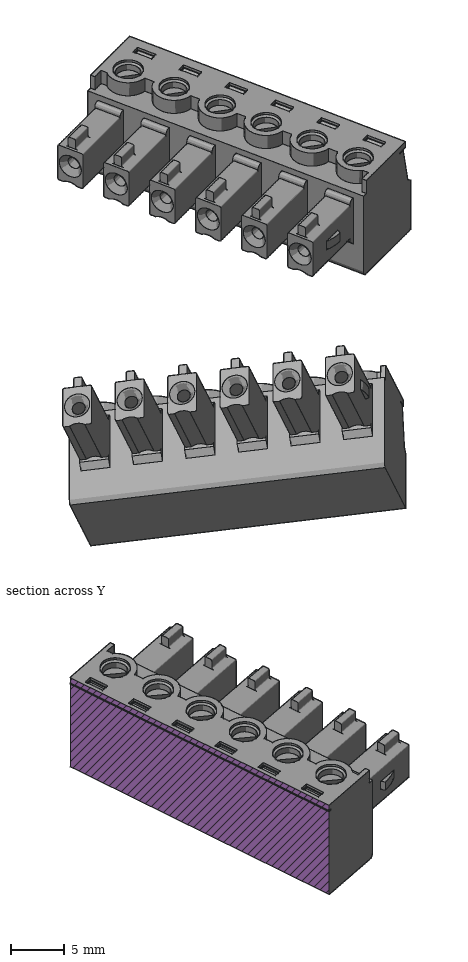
import cadquery as cq
import math


POLES = 6
LENGTH = 30.48
PITCH = LENGTH / POLES
POLE_X = [(i - (POLES - 1) / 2) * PITCH for i in range(POLES)]

DEPTH = 8.4
HEIGHT = 11.1
TOP_BACK_Y = 7.47
SHOULDER_Z = 9.55
SHOULDER_Y = 0.5
FOOT_DEPTH = 0.25
FOOT_HEIGHT = 0.55
LIP_BOTTOM_Z = 10.4
GROOVE_HEIGHT = 0.1
GROOVE_BACK_Y = 7.07
GROOVE_FRONT_Y = 6.45
SLOPE_FOOT_Y = 7.9
SLOPE_FOOT_Z = 6.25
BACK_TOP_Z = 5.85

SCREW_Y = 3.1
TOWER_RADIUS = 2.07
SCALLOP_BACK_Y = 2.77
END_POCKET_BACK_Y = 1.62
END_WALL = 0.5
SEAT_DIAMETER = 2.85
SEAT_DEPTH = 0.25
SEAT_CONE_DEPTH = 0.15
WELL_DIAMETER = 2.45
SCREW_TOP_DEPTH = 1.07
DRIVER_SLOT_WIDTH = 0.7
DRIVER_SLOT_DEPTH = 0.5
DRIVER_SLOT_ANGLE = 45.0

WINDOW_Y = 6.0
WINDOW_WIDTH = 2.0
WINDOW_LENGTH_Y = 0.8
WINDOW_LEDGE = 0.1
WINDOW_DEPTH = 0.27
WINDOW_FLOOR_ANGLE = 20.0

PLUG_LENGTH = 7.2
PLUG_WIDTH = 2.8
PLUG_BOTTOM_Z = 4.25
PLUG_TOP_Z = 8.38
PLUG_EDGE_RADIUS = 0.18
COLLAR_LENGTH = 0.58
COLLAR_TOP_Z = 8.87
COLLAR_RADIUS = 0.37
COLLAR_FACE_BOTTOM_Z = 4.0
COLLAR_BOTTOM_Z = 3.38
KEEL_GROOVE_WIDTH = 1.45
KEEL_GROOVE_HEIGHT = 0.2

SOCKET_Z = 6.37
SOCKET_MOUTH_DIAMETER = 2.45
SOCKET_RIM_DIAMETER = 2.13
SOCKET_RIM_DEPTH = 0.12
SOCKET_BORE_DIAMETER = 1.25
SOCKET_CONE_DEPTH = 0.6
SOCKET_DEPTH = 3.05

KEY_WIDTH = 0.82
KEY_FRONT_Y = -6.92
KEY_BACK_Y = -4.7
KEY_TOP_Z = SHOULDER_Z
KEY_RADIUS = 0.18

LATCH_Z = SOCKET_Z
LATCH_HEIGHT = 1.0
LATCH_REACH = 0.4
LATCH_BACK_Y = -2.77
LATCH_CREST_Y = -3.0
LATCH_FRONT_Y = -4.82


def side_extrusion(profile_points, width):
    """Extrude a closed (y, z) outline along X, centred on X = 0."""
    return cq.Workplane("YZ").polyline(profile_points).close().extrude(width / 2, both=True)


def box_between(x_range, y_range, z_range):
    """Box spanning the given coordinate ranges."""
    size = [high - low for low, high in (x_range, y_range, z_range)]
    corner = (x_range[0], y_range[0], z_range[0])
    return cq.Workplane("XY").box(*size, centered=False).translate(corner)


def housing_body():
    """Full housing block with its stepped back and rounded front foot."""
    return (
        cq.Workplane("YZ")
        .moveTo(DEPTH, 0)
        .lineTo(DEPTH, BACK_TOP_Z)
        .lineTo(SLOPE_FOOT_Y, SLOPE_FOOT_Z)
        .lineTo(GROOVE_BACK_Y, LIP_BOTTOM_Z - GROOVE_HEIGHT)
        .lineTo(GROOVE_FRONT_Y, LIP_BOTTOM_Z - GROOVE_HEIGHT)
        .lineTo(GROOVE_FRONT_Y, LIP_BOTTOM_Z)
        .lineTo(TOP_BACK_Y, LIP_BOTTOM_Z)
        .lineTo(TOP_BACK_Y, HEIGHT)
        .lineTo(SHOULDER_Y, HEIGHT)
        .lineTo(SHOULDER_Y, SHOULDER_Z)
        .lineTo(0, SHOULDER_Z)
        .lineTo(0, FOOT_HEIGHT)
        .tangentArcPoint((FOOT_DEPTH, 0), relative=False)
        .close()
        .extrude(LENGTH / 2, both=True)
    )


def scallop_cut():
    """Space in front of the upper storey, leaving a round tower at each screw."""
    storey = (SHOULDER_Z, HEIGHT)
    inner_end = LENGTH / 2 - END_WALL
    space = box_between((-inner_end, inner_end), (0, END_POCKET_BACK_Y), storey)
    space = space.union(box_between((POLE_X[0], POLE_X[-1]), (0, SCALLOP_BACK_Y), storey))
    towers = (
        cq.Workplane("XY", origin=(0, 0, SHOULDER_Z))
        .pushPoints([(x, SCREW_Y) for x in POLE_X])
        .circle(TOWER_RADIUS)
        .extrude(HEIGHT - SHOULDER_Z)
    )
    return space.cut(towers)


def screw_well():
    """Stepped well down to a slotted screw head, on X = 0."""
    seat_z = HEIGHT - SEAT_DEPTH
    screw_z = HEIGHT - SCREW_TOP_DEPTH
    slot_z = screw_z - DRIVER_SLOT_DEPTH
    half_section = [
        (0, screw_z),
        (WELL_DIAMETER / 2, screw_z),
        (WELL_DIAMETER / 2, seat_z - SEAT_CONE_DEPTH),
        (SEAT_DIAMETER / 2, seat_z),
        (SEAT_DIAMETER / 2, HEIGHT),
        (0, HEIGHT),
    ]
    well = cq.Workplane("XZ").polyline(half_section).close().revolve(360, (0, 0, 0), (0, 1, 0))
    slot_blank = (
        cq.Workplane("XY", origin=(0, 0, slot_z))
        .transformed(rotate=(0, 0, DRIVER_SLOT_ANGLE))
        .rect(WELL_DIAMETER, DRIVER_SLOT_WIDTH)
        .extrude(DRIVER_SLOT_DEPTH)
    )
    head = cq.Workplane("XY", origin=(0, 0, slot_z)).circle(WELL_DIAMETER / 2).extrude(DRIVER_SLOT_DEPTH)
    slot = slot_blank.intersect(head)
    return well.union(slot).translate((0, SCREW_Y, 0))


def test_window():
    """Rectangular recess with a ledge and a floor falling towards the front, on X = 0."""
    ledge_z = HEIGHT - WINDOW_DEPTH
    back_y = WINDOW_Y + WINDOW_LENGTH_Y / 2
    front_y = WINDOW_Y - WINDOW_LENGTH_Y / 2
    inner_length = WINDOW_LENGTH_Y - 2 * WINDOW_LEDGE
    floor_drop = inner_length * math.tan(math.radians(WINDOW_FLOOR_ANGLE))
    recess = box_between((-WINDOW_WIDTH / 2, WINDOW_WIDTH / 2), (front_y, back_y), (ledge_z, HEIGHT))
    wedge = side_extrusion(
        [
            (back_y - WINDOW_LEDGE, ledge_z),
            (front_y + WINDOW_LEDGE, ledge_z),
            (front_y + WINDOW_LEDGE, ledge_z - floor_drop),
        ],
        WINDOW_WIDTH - 2 * WINDOW_LEDGE,
    )
    return recess.union(wedge)


def collar():
    """Thickened root of a plug, rounded on top and sloping underneath."""
    outline = [
        (0, COLLAR_TOP_Z),
        (-COLLAR_LENGTH, COLLAR_TOP_Z),
        (-COLLAR_LENGTH, COLLAR_FACE_BOTTOM_Z),
        (0, COLLAR_BOTTOM_Z),
    ]
    return side_extrusion(outline, PLUG_WIDTH).edges("|X and <Y and >Z").fillet(COLLAR_RADIUS)


def coding_key():
    """Upright rib on a plug, rounded on top and flared into the plug at its base."""
    half = KEY_WIDTH / 2
    root_z = PLUG_TOP_Z
    top_z = KEY_TOP_Z
    r = KEY_RADIUS
    bend = r * (1 - math.sqrt(0.5))
    return (
        cq.Workplane("XZ", origin=(0, KEY_BACK_Y, 0))
        .moveTo(-half - r, root_z)
        .lineTo(half + r, root_z)
        .threePointArc((half + bend, root_z + bend), (half, root_z + r))
        .lineTo(half, top_z - r)
        .threePointArc((half - bend, top_z - bend), (half - r, top_z))
        .lineTo(-half + r, top_z)
        .threePointArc((-half + bend, top_z - bend), (-half, top_z - r))
        .lineTo(-half, root_z + r)
        .threePointArc((-half - bend, root_z + bend), (-half - r, root_z))
        .close()
        .extrude(KEY_BACK_Y - KEY_FRONT_Y)
    )


def pin_socket():
    """Funnel and bore entering the plug tip, on X = 0."""
    tip_y = -PLUG_LENGTH
    half_section = [
        (0, tip_y),
        (SOCKET_MOUTH_DIAMETER / 2, tip_y),
        (SOCKET_RIM_DIAMETER / 2, tip_y + SOCKET_RIM_DEPTH),
        (SOCKET_BORE_DIAMETER / 2, tip_y + SOCKET_CONE_DEPTH),
        (SOCKET_BORE_DIAMETER / 2, tip_y + SOCKET_DEPTH),
        (0, tip_y + SOCKET_DEPTH),
    ]
    socket = cq.Workplane("XY").polyline(half_section).close().revolve(360, (0, 0, 0), (0, 1, 0))
    return socket.translate((0, 0, SOCKET_Z))


def keel_groove():
    """Shallow round-topped groove along the underside of a plug, on X = 0."""
    half = KEEL_GROOVE_WIDTH / 2
    return (
        cq.Workplane("XZ", origin=(0, -COLLAR_LENGTH, 0))
        .moveTo(-half, PLUG_BOTTOM_Z)
        .threePointArc((0, PLUG_BOTTOM_Z + KEEL_GROOVE_HEIGHT), (half, PLUG_BOTTOM_Z))
        .close()
        .extrude(PLUG_LENGTH - COLLAR_LENGTH)
    )


def plug():
    """One complete plug on X = 0."""
    half = PLUG_WIDTH / 2
    shaft = box_between((-half, half), (-PLUG_LENGTH, 0), (PLUG_BOTTOM_Z, PLUG_TOP_Z))
    shaft = shaft.edges("|Y").fillet(PLUG_EDGE_RADIUS)
    shaft = shaft.cut(keel_groove())
    return shaft.union(collar()).union(coding_key()).cut(pin_socket())


def latch_bump():
    """Latch with a curved lead-in on the right-hand end plug."""
    root_x = POLE_X[-1] + PLUG_WIDTH / 2
    crest_x = root_x + LATCH_REACH
    lead_in = LATCH_CREST_Y - LATCH_FRONT_Y
    lead_in_radius = (lead_in**2 + LATCH_REACH**2) / (2 * LATCH_REACH)
    return (
        cq.Workplane("XY", origin=(0, 0, LATCH_Z))
        .moveTo(root_x, LATCH_BACK_Y)
        .lineTo(crest_x, LATCH_CREST_Y)
        .radiusArc((root_x, LATCH_FRONT_Y), lead_in_radius)
        .close()
        .extrude(LATCH_HEIGHT / 2, both=True)
    )


housing = housing_body().cut(scallop_cut())
well = screw_well()
window = test_window()
single_plug = plug()
for x in POLE_X:
    housing = housing.cut(well.translate((x, 0, 0)))
    housing = housing.cut(window.translate((x, 0, 0)))
    housing = housing.union(single_plug.translate((x, 0, 0)))

right_latch = latch_bump()
result = housing.union(right_latch).union(right_latch.mirror("YZ"))